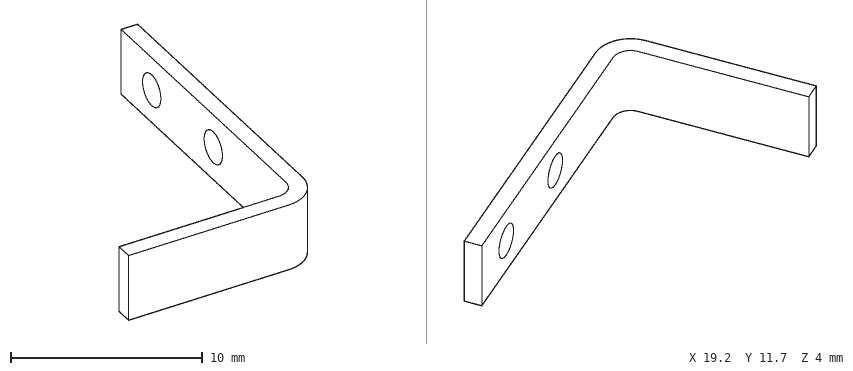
import cadquery as cq
import math

length = 19.21
depth = 11.66
width = 4.0

thickness = 1.0
inner_radius = 1.0
outer_radius = inner_radius + thickness
lean_angle = math.radians(0.4)

hole_diameter = 1.9
first_hole_x = 3.2
hole_spacing = 6.4
hole_count = 2

along = (math.sin(lean_angle), -math.cos(lean_angle))
outward = (math.cos(lean_angle), math.sin(lean_angle))

bend_y = -outer_radius
leg_length = (depth + bend_y + inner_radius * outward[1]) / math.cos(lean_angle)
bend_x = length - outer_radius * outward[0] - leg_length * along[0]


def bend_point(radius, angle):
    """Point on a bend arc, with the angle measured from +X about the bend centre."""
    return (bend_x + radius * math.cos(angle), bend_y + radius * math.sin(angle))


def leg_end(radius):
    """Corner at the free end of the short leg, below the end of a bend arc."""
    start_x, start_y = bend_point(radius, lean_angle)
    return (start_x + leg_length * along[0], start_y + leg_length * along[1])


def bent_strip():
    """L-shaped strip with its outer back face on Y = 0 and its free end on X = 0."""
    mid_angle = (lean_angle + math.pi / 2) / 2
    return (
        cq.Workplane("XY")
        .moveTo(0, 0)
        .lineTo(bend_x, 0)
        .threePointArc(bend_point(outer_radius, mid_angle), bend_point(outer_radius, lean_angle))
        .lineTo(*leg_end(outer_radius))
        .lineTo(*leg_end(inner_radius))
        .lineTo(*bend_point(inner_radius, lean_angle))
        .threePointArc(bend_point(inner_radius, mid_angle), (bend_x, -thickness))
        .lineTo(0, -thickness)
        .close()
        .extrude(width)
    )


def hole_cutters():
    """Cylinders along Y that pass through the long leg at mid width."""
    centres = [(first_hole_x + i * hole_spacing, width / 2) for i in range(hole_count)]
    return cq.Workplane("XZ").pushPoints(centres).circle(hole_diameter / 2).extrude(thickness)


result = bent_strip().cut(hole_cutters())